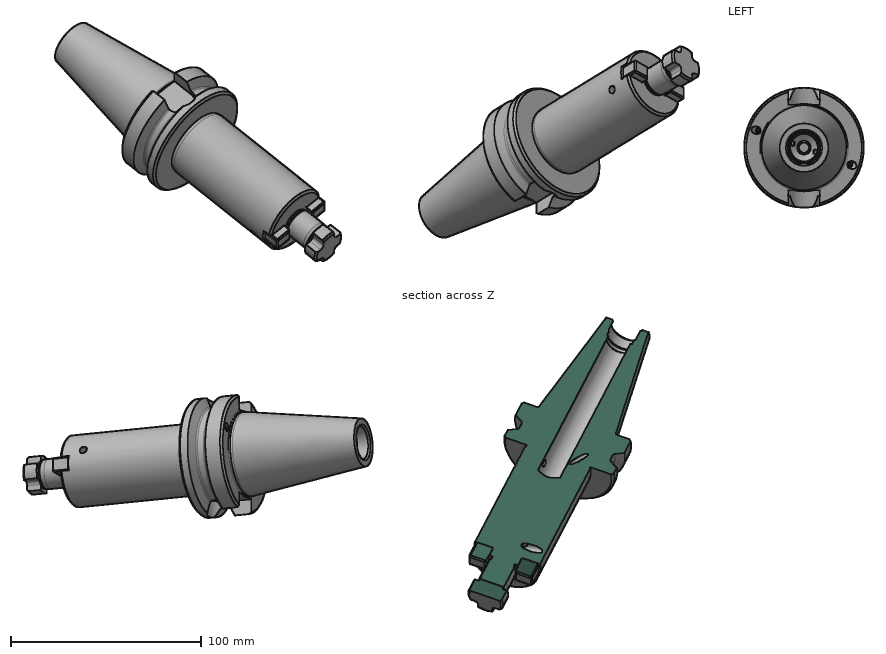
import cadquery as cq
import math

overall_length = 190.4

gauge_x = 65.5
gauge_radius = 22.3
taper_small_radius = 12.8
flange_back_x = 67.4
flange_front_x = 92.3
flange_diameter = 63.0
flange_radius = flange_diameter / 2
flange_chamfer = 1.1
flange_root_fillet = 0.8
groove_floor_radius = 26.5
groove_floor_back_x = 79.8
groove_floor_front_x = 84.2
groove_flank_angle = 30.0
groove_corner_radius = 1.0
edge_margin = 0.2

drive_slot_width = 16.5
drive_slot_end_x = 88.5
drive_slot_floor = 22.5

shank_face_x = 165.5
shank_radius = 19.0
shank_chamfer = 1.1
shank_root_radius = 18.7
shank_root_end_x = 94.0
pilot_radius = 8.0
pilot_relief_radius = 7.5
pilot_relief_end_x = 166.6
pilot_start_x = 167.5
pilot_lead_x = 179.2
pilot_end_x = 181.5
pilot_tip_radius = 7.8

bore_radius = 8.5
bore_mouth_chamfer = 1.0
bore_step_x = 7.0
bore_step_length = 1.0
relief_radius = 8.0
relief_end_x = 10.7
drill_radius = 7.2
bore_cone_x = 104.7
bore_cone_angle = 60.0

screw_radius = 3.6
screw_end_x = 114.2
screw_chamfer = 1.0
head_back_x = 182.4
head_diameter = 20.0
head_radius = head_diameter / 2
head_chamfer = 1.0
lobe_width = 8.0
lobe_root_radius = 2.0

key_back_x = 160.3
key_front_x = 170.0
key_width = 7.8
key_inner_y = 8.4
key_outer_y = 18.0
key_chamfer = 0.8

coolant_angle = 20.0
inlet_mouth_radius = 26.8
inlet_tilt = 35.0
channel_diameter = 2.3
plug_diameter = 4.0
plug_recess = 2.7
plug_length = 4.8
socket_width = 2.0
socket_depth = 1.9
outlet_radius = 6.3
side_hole_x = 152.3
side_hole_diameter = 4.0
side_hole_floor_radius = 5.7

opposite_sides = (0, 180)


def turned(points):
    """Revolve an (x, radius) outline about the X axis."""
    return cq.Workplane("XZ").polyline(points).close().revolve(360, (0, 0, 0), (1, 0, 0))


def about_axis(body, angle):
    return body.rotate((0, 0, 0), (1, 0, 0), angle)


def edges_between(back_x, front_x, radius):
    """Select the edges lying between two X positions and within a half-width of the axis."""
    return cq.selectors.BoxSelector(
        (back_x - edge_margin, -radius, -radius),
        (front_x + edge_margin, radius, radius),
    )



def make_holder_blank():
    flank_length = (flange_radius - groove_floor_radius) * math.tan(math.radians(groove_flank_angle))
    rim_corner_radius = flange_radius - flange_chamfer
    blank = turned([
        (0, 0),
        (0, taper_small_radius),
        (gauge_x, gauge_radius),
        (flange_back_x, gauge_radius),
        (flange_back_x, rim_corner_radius),
        (flange_back_x + flange_chamfer, flange_radius),
        (groove_floor_back_x - flank_length, flange_radius),
        (groove_floor_back_x, groove_floor_radius),
        (groove_floor_front_x, groove_floor_radius),
        (groove_floor_front_x + flank_length, flange_radius),
        (flange_front_x - flange_chamfer, flange_radius),
        (flange_front_x, rim_corner_radius),
        (flange_front_x, shank_root_radius),
        (shank_root_end_x, shank_radius),
        (shank_face_x - shank_chamfer, shank_radius),
        (shank_face_x, shank_radius - shank_chamfer),
        (shank_face_x, pilot_relief_radius),
        (pilot_relief_end_x, pilot_relief_radius),
        (pilot_start_x, pilot_radius),
        (pilot_lead_x, pilot_radius),
        (pilot_end_x, pilot_tip_radius),
        (pilot_end_x, 0),
    ])
    flange_root = edges_between(flange_back_x, flange_back_x, flange_radius)
    groove_corners = edges_between(groove_floor_back_x, groove_floor_front_x, flange_radius)
    blank = blank.edges(flange_root).edges(cq.selectors.RadiusNthSelector(0)).fillet(flange_root_fillet)
    return blank.edges(groove_corners).edges("%CIRCLE").fillet(groove_corner_radius)


def make_drawbar_bore():
    """Stepped bore that narrows through a cone to the clamp screw hole."""
    cone_length = (drill_radius - screw_radius) / math.tan(math.radians(bore_cone_angle))
    return turned([
        (0, 0),
        (0, bore_radius + bore_mouth_chamfer),
        (bore_mouth_chamfer, bore_radius),
        (bore_step_x, bore_radius),
        (bore_step_x + bore_step_length, relief_radius),
        (relief_end_x, relief_radius),
        (relief_end_x, drill_radius),
        (bore_cone_x, drill_radius),
        (bore_cone_x + cone_length, screw_radius),
        (pilot_end_x, screw_radius),
        (pilot_end_x, 0),
    ])


def make_drive_slot():
    """Flat-floored slot, open at the back of the flange and round at its front end."""
    half_width = drive_slot_width / 2
    straight_end_x = drive_slot_end_x - half_width
    return (
        cq.Workplane("XY", origin=(0, 0, drive_slot_floor))
        .moveTo(flange_back_x, -half_width)
        .lineTo(straight_end_x, -half_width)
        .threePointArc((drive_slot_end_x, 0), (straight_end_x, half_width))
        .lineTo(flange_back_x, half_width)
        .close()
        .extrude(flange_radius)
    )


def make_key_block(outer_y):
    """Block of the key's length and width, reaching out to the given Y."""
    return (
        cq.Workplane("XY", origin=(key_back_x, key_inner_y, 0))
        .box(key_front_x - key_back_x, outer_y - key_inner_y, key_width, centered=(False, False, True))
    )


def inlet_plane():
    """Plane at the inlet mouth on the flange; its normal runs down the channel toward the axis."""
    tilt = math.radians(inlet_tilt)
    return cq.Plane(
        origin=(flange_back_x, inlet_mouth_radius, 0),
        xDir=(0, 0, 1),
        normal=(math.cos(tilt), -math.sin(tilt), 0),
    )


def make_inlet_channel():
    """Sloping hole from the flange face into the bore; its wide mouth takes the plug."""
    wall_length = (inlet_mouth_radius - drill_radius) / math.sin(math.radians(inlet_tilt))
    overrun = plug_diameter
    channel = (
        cq.Workplane(inlet_plane())
        .circle(channel_diameter / 2)
        .extrude(wall_length + channel_diameter)
    )
    mouth = (
        cq.Workplane(inlet_plane())
        .workplane(offset=-overrun)
        .circle(plug_diameter / 2)
        .extrude(overrun + plug_recess + plug_length)
    )
    return channel.union(mouth)


def make_outlet_channel():
    """Hole along X from the bore cone to the side hole."""
    return (
        cq.Workplane("YZ", origin=(bore_cone_x, outlet_radius, 0))
        .circle(channel_diameter / 2)
        .extrude(side_hole_x - bore_cone_x)
    )


def make_side_hole():
    """Radial hole that opens on the side of the shank."""
    return (
        cq.Workplane("XZ", origin=(side_hole_x, side_hole_floor_radius, 0))
        .circle(side_hole_diameter / 2)
        .extrude(-shank_radius)
    )


def make_holder():
    holder = make_holder_blank().cut(make_drawbar_bore())
    for angle in opposite_sides:
        holder = holder.cut(about_axis(make_drive_slot(), angle))
        holder = holder.cut(about_axis(make_key_block(shank_radius), angle))
        holder = holder.cut(about_axis(make_inlet_channel(), angle + coolant_angle))
        holder = holder.cut(about_axis(make_outlet_channel(), angle + coolant_angle))
        holder = holder.cut(about_axis(make_side_hole(), angle + coolant_angle))
    return holder



def make_screw_head():
    """Chamfered disc cut down to a cross of four lobes with rounded roots."""
    disc = turned([
        (head_back_x, 0),
        (head_back_x, head_radius),
        (overall_length - head_chamfer, head_radius),
        (overall_length, head_radius - head_chamfer),
        (overall_length, 0),
    ])
    head_length = overall_length - head_back_x
    head_plane = cq.Workplane("YZ", origin=(head_back_x, 0, 0))
    cross = (
        head_plane.rect(head_diameter, lobe_width).extrude(head_length)
        .union(head_plane.rect(lobe_width, head_diameter).extrude(head_length))
    )
    lobe_roots = edges_between(head_back_x, overall_length, lobe_width / 2 + edge_margin)
    cross = cross.edges(lobe_roots).edges("|X").fillet(lobe_root_radius)
    return disc.intersect(cross)


def make_clamp_screw():
    shaft = turned([
        (screw_end_x, 0),
        (screw_end_x, screw_radius - screw_chamfer),
        (screw_end_x + screw_chamfer, screw_radius),
        (pilot_end_x, screw_radius),
        (pilot_end_x, pilot_tip_radius),
        (head_back_x, pilot_tip_radius),
        (head_back_x, 0),
    ])
    return shaft.union(make_screw_head())



def make_drive_key():
    return make_key_block(key_outer_y).faces(">Y or >X").edges().chamfer(key_chamfer)



def make_coolant_plug():
    """Plug with a hexagon socket, set below the flange face."""
    plug_face = cq.Workplane(inlet_plane()).workplane(offset=plug_recess)
    plug = plug_face.circle(plug_diameter / 2).extrude(plug_length)
    socket = plug_face.polygon(6, socket_width, circumscribed=True).extrude(socket_depth)
    return plug.cut(socket)


holder = make_holder()
clamp_screw = make_clamp_screw()
drive_keys = [about_axis(make_drive_key(), angle) for angle in opposite_sides]
coolant_plugs = [about_axis(make_coolant_plug(), angle + coolant_angle) for angle in opposite_sides]

result = cq.Compound.makeCompound([
    holder.solids().val(),
    clamp_screw.solids().val(),
    *[key.solids().val() for key in drive_keys],
    *[plug.solids().val() for plug in coolant_plugs],
])